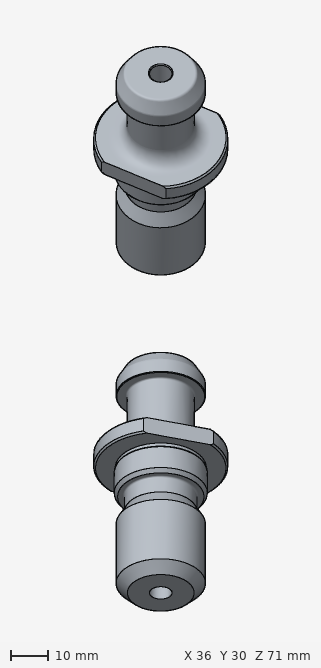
import cadquery as cq
import math

total_height = 71.0
cone_slope = math.tan(math.radians(30))

head_radius = 12.0
head_height = 8.0
head_cone_height = 4.0
head_rounding = 1.0
head_bottom_chamfer = 0.2
neck_radius = 9.0
head_underside_fillet = 0.5
neck_base_fillet = 5.0

flange_radius = 18.0
flange_top = 45.0
flange_bottom = 40.05
flange_chamfer = 0.5
flange_across_flats = 30.0

relief_radius = 12.25
relief_bottom = 39.05
collar_radius = 12.5
collar_top = 38.7
collar_bottom = 30.9
collar_chamfer_width = 0.9
collar_chamfer_height = 1.15

undercut_radius = 9.76
undercut_bottom = 26.0
undercut_fillet = 0.5
shank_radius = 12.0
shank_chamfer = 3.05

bore_radius = 3.02
bore_chamfer = 0.3


def fillet_corner(profile, start, end, center, radius):
    """Add a concave quarter arc from start to end, bulging toward the axis."""
    diagonal = radius / math.sqrt(2)
    side = 1 if center[1] > min(start[1], end[1]) else -1
    middle = (center[0] - diagonal, center[1] - side * diagonal)
    return profile.lineTo(*start).threePointArc(middle, end)


def turn(profile):
    """Close a half profile and revolve it about the Z axis."""
    return profile.close().revolve(360, (0, 0, 0), (0, 1, 0))


def make_head():
    """Truncated cone on a cylinder, with rounded upper edges."""
    top_radius = head_radius - head_cone_height * cone_slope
    bottom = total_height - head_height
    head = turn(
        cq.Workplane("XZ")
        .moveTo(0, bottom)
        .lineTo(head_radius - head_bottom_chamfer, bottom)
        .lineTo(head_radius, bottom + head_bottom_chamfer)
        .lineTo(head_radius, total_height - head_cone_height)
        .lineTo(top_radius, total_height)
        .lineTo(0, total_height)
    )
    main_cone = head.faces("%CONE").faces(">Z")
    return main_cone.edges("%CIRCLE").fillet(head_rounding)


def make_neck():
    """Cylinder flaring into the flange below and the head above."""
    top = total_height - head_height
    profile = cq.Workplane("XZ").moveTo(0, flange_top)
    profile = fillet_corner(
        profile,
        (neck_radius + neck_base_fillet, flange_top),
        (neck_radius, flange_top + neck_base_fillet),
        (neck_radius + neck_base_fillet, flange_top + neck_base_fillet),
        neck_base_fillet,
    )
    profile = fillet_corner(
        profile,
        (neck_radius, top - head_underside_fillet),
        (neck_radius + head_underside_fillet, top),
        (neck_radius + head_underside_fillet, top - head_underside_fillet),
        head_underside_fillet,
    )
    return turn(profile.lineTo(0, top))


def make_flange():
    """Chamfered disc cut by two flats facing -Y and +Y."""
    height = flange_top - flange_bottom
    disc = cq.Workplane("XY").workplane(offset=flange_bottom).circle(flange_radius).extrude(height)
    disc = disc.edges().edges("%CIRCLE").chamfer(flange_chamfer)
    flats = (
        cq.Workplane("XY")
        .workplane(offset=flange_bottom)
        .rect(2 * flange_radius, flange_across_flats)
        .extrude(height)
    )
    return disc.intersect(flats)


def make_lower_body():
    """Relief, collar, undercut and shank as one turned profile."""
    shank_top = undercut_bottom - (shank_radius - undercut_radius) / cone_slope
    profile = (
        cq.Workplane("XZ")
        .lineTo(shank_radius - shank_chamfer, 0)
        .lineTo(shank_radius, shank_chamfer)
        .lineTo(shank_radius, shank_top)
        .lineTo(undercut_radius, undercut_bottom)
    )
    profile = fillet_corner(
        profile,
        (undercut_radius, collar_bottom - undercut_fillet),
        (undercut_radius + undercut_fillet, collar_bottom),
        (undercut_radius + undercut_fillet, collar_bottom - undercut_fillet),
        undercut_fillet,
    )
    return turn(
        profile.lineTo(collar_radius - collar_chamfer_width, collar_bottom)
        .lineTo(collar_radius, collar_bottom + collar_chamfer_height)
        .lineTo(collar_radius, collar_top)
        .lineTo(relief_radius, relief_bottom)
        .lineTo(relief_radius, flange_bottom)
        .lineTo(0, flange_bottom)
    )


def make_bore():
    """Through hole with a small chamfer at the top rim."""
    return turn(
        cq.Workplane("XZ")
        .lineTo(bore_radius, 0)
        .lineTo(bore_radius, total_height - bore_chamfer)
        .lineTo(bore_radius + bore_chamfer, total_height)
        .lineTo(0, total_height)
    )


body = make_lower_body().union(make_flange()).union(make_neck()).union(make_head())
result = body.cut(make_bore())